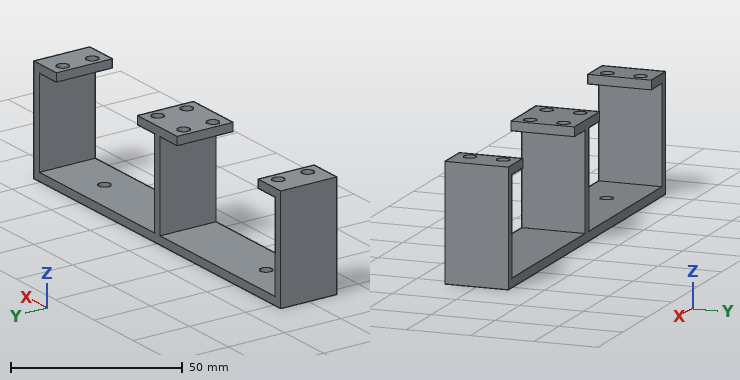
import cadquery as cq

length = 127.0
width = 20.0
height = 37.0

wall = 2.9
flange_reach = 8.8

hole_diameter = 4.0
flange_hole_offset = 5.2
flange_hole_spacing = 10.4
base_hole_spacing = 83.0

end_upright_x = (length - wall) / 2
flange_length = wall + flange_reach


def upright(x):
    """Upright plate centred at x, running the full height."""
    return cq.Workplane("XY").box(wall, width, height, centered=(True, True, False)).translate((x, 0, 0))


def flange(upright_x, direction):
    """Drilled top flange pointing along direction (+1 or -1) from an upright."""
    outer_face_x = upright_x - direction * wall / 2
    hole_x = upright_x + direction * (wall / 2 + flange_hole_offset)
    plate = (
        cq.Workplane("XY")
        .box(flange_length, width, wall, centered=(True, True, False))
        .translate((outer_face_x + direction * flange_length / 2, 0, height - wall))
    )
    holes = (
        cq.Workplane("XY", origin=(hole_x, 0, height - wall))
        .rarray(1.3, flange_hole_spacing, 1, 2)
        .circle(hole_diameter / 2)
        .extrude(wall)
    )
    return plate.cut(holes)


result = (
    cq.Workplane("XY")
    .box(length, width, wall, centered=(True, True, False))
    .faces(">Z")
    .workplane(origin=(0, 0, 0))
    .rarray(base_hole_spacing, 1.3, 2, 1)
    .hole(hole_diameter)
)

for x in (-end_upright_x, 0, end_upright_x):
    result = result.union(upright(x))

for x, direction in ((-end_upright_x, 1), (0, -1), (0, 1), (end_upright_x, -1)):
    result = result.union(flange(x, direction))